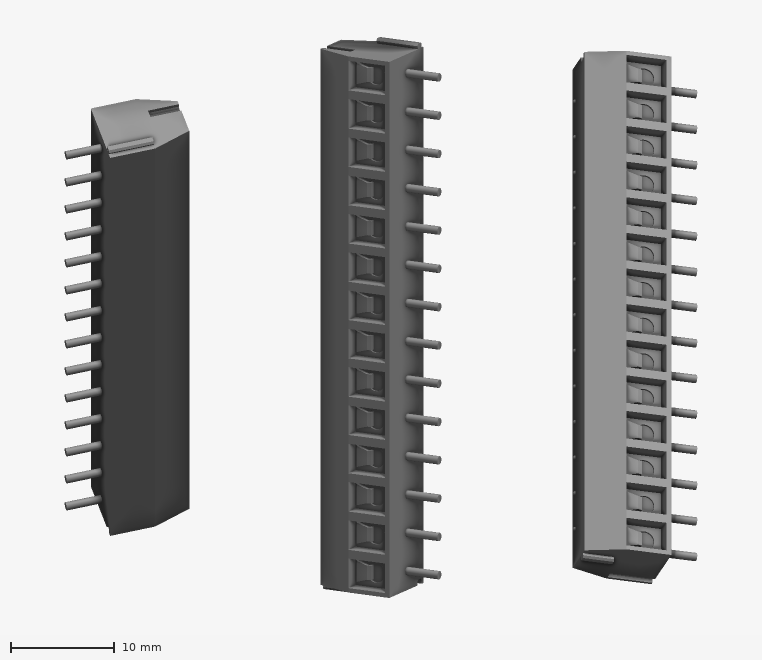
import cadquery as cq

pole_count = 14
pole_pitch = 3.8
total_height = 54.35
rail_height = 0.55
body_height = total_height - 2 * rail_height
first_pole_z = (body_height - (pole_count - 1) * pole_pitch) / 2

body_width = 6.8
body_depth = 8.3
taper_start = 4.5
taper_inset = 1.35

pin_diameter = 0.8
pin_length = 3.55
pin_x = 3.6

pocket_height = 2.95
pocket_depth = 1.45
pocket_front = 0.5
pocket_front_draft = 0.1

wire_hole_diameter = 1.95
wire_hole_y = 2.3
wire_hole_bottom = 1.7

tongue_top = 1.1
tongue_shoulder = 1.2
tongue_back_y = taper_start
tongue_shoulder_y = 4.3
tongue_flat_back_y = 4.15
tongue_flat_front_y = 3.05
tongue_tip_y = 2.6
tongue_back_height = 2.3
tongue_front_height = 1.4

rail_neck_width = 0.5
rail_full_width = 0.85
rail_tip_width = 0.55
rail_full_level = 0.3
front_rail_x = 6.05
front_rail_length = taper_start
back_rail_x = 2.25
back_rail_length = 3.1

dome_radius = 0.2
dome_height = 0.2
dome_x = 4.7


def pole_heights():
    return [first_pole_z + i * pole_pitch for i in range(pole_count)]


def housing():
    outline = [
        (0, 0),
        (body_width, 0),
        (body_width, taper_start),
        (body_width - taper_inset, body_depth),
        (taper_inset, body_depth),
        (0, taper_start),
    ]
    return cq.Workplane("XY").polyline(outline).close().extrude(body_height)


def pin(z):
    return cq.Workplane("XZ").center(pin_x, z).circle(pin_diameter / 2).extrude(pin_length)


def wire_pocket(z):
    """Open pocket with a drafted front wall, plus the wire hole in its floor."""
    section = [
        (0, pocket_front),
        (pocket_depth, pocket_front + pocket_front_draft),
        (pocket_depth, taper_start),
        (0, taper_start),
    ]
    pocket = (
        cq.Workplane("XY", origin=(0, 0, z - pocket_height / 2))
        .polyline(section).close().extrude(pocket_height)
    )
    hole = (
        cq.Workplane("YZ").center(wire_hole_y, z)
        .circle(wire_hole_diameter / 2).extrude(wire_hole_bottom)
    )
    return pocket.union(hole)


def tongue(z):
    """Bulged profile trimmed to a trapezoid that narrows towards the front."""
    profile = [
        (wire_hole_bottom, tongue_back_y),
        (pocket_depth, tongue_back_y),
        (tongue_shoulder, tongue_shoulder_y),
        (tongue_top, tongue_flat_back_y),
        (tongue_top, tongue_flat_front_y),
        (tongue_shoulder, tongue_tip_y),
        (wire_hole_bottom, tongue_tip_y),
    ]
    half_back = tongue_back_height / 2
    half_front = tongue_front_height / 2
    trapezoid = [
        (tongue_back_y, z - half_back),
        (tongue_flat_front_y, z - half_front),
        (tongue_tip_y, z - half_front),
        (tongue_tip_y, z + half_front),
        (tongue_flat_front_y, z + half_front),
        (tongue_back_y, z + half_back),
    ]
    bulge = (
        cq.Workplane("XY", origin=(0, 0, z - half_back))
        .polyline(profile).close().extrude(tongue_back_height)
    )
    plan = cq.Workplane("YZ").polyline(trapezoid).close().extrude(wire_hole_bottom)
    return bulge.intersect(plan)


def end_bar(x, y_start, length, base_width):
    """Bar along Y standing on Z = 0, narrowing from its full width to its tip."""
    section = [
        (x - base_width / 2, 0),
        (x + base_width / 2, 0),
        (x + rail_full_width / 2, rail_full_level),
        (x + rail_tip_width / 2, rail_height),
        (x - rail_tip_width / 2, rail_height),
        (x - rail_full_width / 2, rail_full_level),
    ]
    return (
        cq.Workplane("XZ", origin=(0, y_start, 0))
        .polyline(section).close().extrude(-length)
    )


def rail(x, y_start, length):
    """Rail that flares from a narrow neck."""
    return end_bar(x, y_start, length, rail_neck_width)


def groove(x, y_start, length):
    """Cutter for a groove with a full-width mouth, so that a rail can enter."""
    return end_bar(x, y_start, length, rail_full_width)


def dome(z):
    sphere_radius = (dome_radius**2 + dome_height**2) / (2 * dome_height)
    centre_y = body_depth + dome_height - sphere_radius
    return cq.Workplane("XY", origin=(dome_x, centre_y, z)).sphere(sphere_radius)


result = housing()

for z in pole_heights():
    result = result.cut(wire_pocket(z)).union(tongue(z)).union(pin(z))

for z in pole_heights()[:-1]:
    result = result.union(dome(z + pole_pitch / 2))

back_rail_start = body_depth - back_rail_length
top_rail = rail(front_rail_x, 0, front_rail_length).translate((0, 0, body_height))
bottom_rail = rail(back_rail_x, back_rail_start, back_rail_length).mirror("XY")
bottom_groove = groove(front_rail_x, 0, front_rail_length)
top_groove = groove(back_rail_x, back_rail_start, back_rail_length).mirror("XY")
top_groove = top_groove.translate((0, 0, body_height))

result = result.union(top_rail).union(bottom_rail).cut(bottom_groove).cut(top_groove)